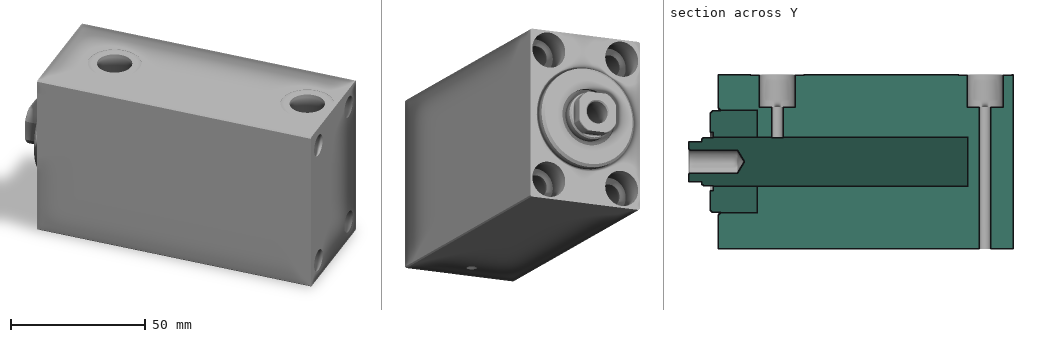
import cadquery as cq


OVERALL_LENGTH = 121.0

BLOCK_LENGTH = 110.0
BLOCK_WIDTH = 45.0
BLOCK_HEIGHT = 65.0
EDGE_CHAMFER = 0.5

MOUNT_SPACING_Y = 30.0
MOUNT_SPACING_Z = 50.0
MOUNT_HOLE_DIAMETER = 8.5
COUNTERBORE_DIAMETER = 13.5
COUNTERBORE_DEPTH = 10.9

FRONT_PORT_X = 22.0
REAR_PORT_X = BLOCK_LENGTH - 10.5
SPOT_FACE_DIAMETER = 20.0
SPOT_FACE_DEPTH = 0.1
PORT_DIAMETER = 13.2
PORT_DEPTH = 12.1
PASSAGE_DIAMETER = 4.1

GLAND_DIAMETER = 38.0
GLAND_OVERHANG = 3.1
GLAND_INSET = 14.5
GLAND_CHAMFER = 1.0
SEAT_CHAMFER = 1.0
WIPER_RECESS_DIAMETER = 21.7
WIPER_RECESS_DEPTH = 1.2

ROD_DIAMETER = 18.0
ROD_OVERHANG = OVERALL_LENGTH - BLOCK_LENGTH
SQUARE_LENGTH = 4.8
SQUARE_ACROSS_FLATS = 15.0
SQUARE_CORNER_DIAMETER = 17.0
SQUARE_TIP_DIAMETER = 16.5
SQUARE_TIP_LENGTH = 0.2
SHOULDER_CHAMFER_LENGTH = 0.7
TAP_HOLE_DIAMETER = 8.5
TAP_HOLE_DEPTH = 18.2
TAP_MOUTH_DIAMETER = 9.4
DRILL_TIP_LENGTH = 2.5
ROD_END_X = REAR_PORT_X - PORT_DIAMETER / 2


def x_cylinder(diameter, start, end):
    """A cylinder on the X axis between two X positions."""
    return cq.Workplane("YZ").workplane(offset=start).circle(diameter / 2).extrude(end - start)


def x_cone(start_diameter, end_diameter, start, end):
    """A cone or truncated cone on the X axis between two X positions."""
    cone = cq.Solid.makeCone(
        start_diameter / 2, end_diameter / 2, end - start, cq.Vector(start, 0, 0), cq.Vector(1, 0, 0)
    )
    return cq.Workplane(cone)


def z_hole(x, diameter, depth):
    """A round cutter going down from the top face of the block."""
    top = cq.Workplane("XY").workplane(offset=BLOCK_HEIGHT / 2)
    return top.center(x, 0).circle(diameter / 2).extrude(-depth)


def port(x, passage_depth):
    """Cutter for a spot-faced port with a narrow passage below it."""
    spot_face = z_hole(x, SPOT_FACE_DIAMETER, SPOT_FACE_DEPTH)
    threaded_part = z_hole(x, PORT_DIAMETER, PORT_DEPTH)
    passage = z_hole(x, PASSAGE_DIAMETER, passage_depth)
    return spot_face.union(threaded_part).union(passage)


def make_block():
    block = cq.Workplane("XY").box(BLOCK_LENGTH, BLOCK_WIDTH, BLOCK_HEIGHT)
    block = block.translate((BLOCK_LENGTH / 2, 0, 0)).edges("|X").chamfer(EDGE_CHAMFER)

    mounts = cq.Workplane("YZ").rarray(MOUNT_SPACING_Y, MOUNT_SPACING_Z, 2, 2)
    block = block.cut(mounts.circle(MOUNT_HOLE_DIAMETER / 2).extrude(BLOCK_LENGTH))
    block = block.cut(mounts.circle(COUNTERBORE_DIAMETER / 2).extrude(COUNTERBORE_DEPTH))

    block = block.cut(port(FRONT_PORT_X, BLOCK_HEIGHT / 2))
    block = block.cut(port(REAR_PORT_X, BLOCK_HEIGHT))

    block = block.cut(x_cone(GLAND_DIAMETER + 2 * SEAT_CHAMFER, GLAND_DIAMETER, 0, SEAT_CHAMFER))
    block = block.cut(x_cylinder(GLAND_DIAMETER, 0, GLAND_INSET))
    return block.cut(x_cylinder(ROD_DIAMETER, 0, ROD_END_X))


def make_gland():
    gland = x_cylinder(GLAND_DIAMETER, -GLAND_OVERHANG, GLAND_INSET)
    gland = gland.faces("<X").chamfer(GLAND_CHAMFER)
    recess_floor = WIPER_RECESS_DEPTH - GLAND_OVERHANG
    gland = gland.cut(x_cylinder(WIPER_RECESS_DIAMETER, -GLAND_OVERHANG, recess_floor))
    return gland.cut(x_cylinder(ROD_DIAMETER, -GLAND_OVERHANG, GLAND_INSET))


def make_rod():
    tip_x = -ROD_OVERHANG
    shoulder_x = tip_x + SQUARE_LENGTH
    chamfer_end_x = shoulder_x + SHOULDER_CHAMFER_LENGTH

    tip_end_x = tip_x + SQUARE_TIP_LENGTH
    envelope = x_cone(SQUARE_TIP_DIAMETER, SQUARE_CORNER_DIAMETER, tip_x, tip_end_x)
    envelope = envelope.union(x_cylinder(SQUARE_CORNER_DIAMETER, tip_end_x, shoulder_x))
    square = cq.Workplane("YZ").workplane(offset=tip_x).rect(SQUARE_ACROSS_FLATS, SQUARE_ACROSS_FLATS)
    rod = square.extrude(SQUARE_LENGTH).intersect(envelope)

    rod = rod.union(x_cone(SQUARE_CORNER_DIAMETER, ROD_DIAMETER, shoulder_x, chamfer_end_x))
    rod = rod.union(x_cylinder(ROD_DIAMETER, chamfer_end_x, ROD_END_X))

    hole_end_x = tip_x + TAP_HOLE_DEPTH
    mouth_depth = (TAP_MOUTH_DIAMETER - TAP_HOLE_DIAMETER) / 2
    rod = rod.cut(x_cylinder(TAP_HOLE_DIAMETER, tip_x, hole_end_x))
    rod = rod.cut(x_cone(TAP_MOUTH_DIAMETER, TAP_HOLE_DIAMETER, tip_x, tip_x + mouth_depth))
    return rod.cut(x_cone(TAP_HOLE_DIAMETER, 0, hole_end_x, hole_end_x + DRILL_TIP_LENGTH))


block = make_block()
gland = make_gland()
rod = make_rod()

result = cq.Compound.makeCompound([block.val(), gland.val(), rod.val()])